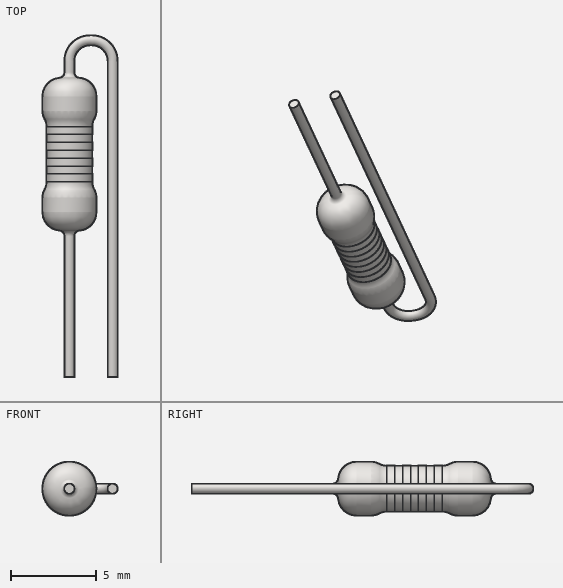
import cadquery as cq
import math

overall_length = 20.1
overall_width = 4.45

lead_diameter = 0.6
lead_radius = lead_diameter / 2
bend_radius = 1.2

cap_radius = 3.2 / 2
waist_radius = 2.71 / 2
band_radius = 2.73 / 2
body_center = 13.1
body_half_length = 4.5
dome_radius = 1.1
lead_fillet = 0.3
cap_inner_end = 2.55
waist_half_length = 1.63

band_count = 4
band_width = 2 * waist_half_length / (2 * band_count - 1)
band_pitch = 2 * band_width

lead_spacing = overall_width - cap_radius - lead_radius
bend_start = overall_length - lead_radius - bend_radius


def point_on_circle(center, radius, degrees):
    angle = math.radians(degrees)
    return (center[0] + radius * math.cos(angle), center[1] + radius * math.sin(angle))


def body_end():
    """The +Y end of the body, from the waist to the lead, with the body center at the origin."""
    dome_center = (cap_radius - dome_radius, body_half_length - dome_radius)
    fillet_x = lead_radius + lead_fillet
    center_gap = dome_radius + lead_fillet
    fillet_rise = math.sqrt(center_gap**2 - (fillet_x - dome_center[0]) ** 2)
    fillet_center = (fillet_x, dome_center[1] + fillet_rise)
    contact_angle = math.degrees(math.atan2(fillet_rise, fillet_x - dome_center[0]))
    dome_end = point_on_circle(dome_center, dome_radius, contact_angle)
    dome_middle = point_on_circle(dome_center, dome_radius, contact_angle / 2)
    fillet_middle = point_on_circle(fillet_center, lead_fillet, (contact_angle + 360) / 2)

    curve_middle = ((waist_radius + cap_radius) / 2, (waist_half_length + cap_inner_end) / 2)

    curve_rise = cap_radius - waist_radius
    curve_length = cap_inner_end - waist_half_length
    curve_radius = (curve_rise**2 + curve_length**2) / (4 * curve_rise)
    curve_turn = math.degrees(math.asin(curve_length / (2 * curve_radius)))
    concave_center = (waist_radius + curve_radius, waist_half_length)
    concave_middle = point_on_circle(concave_center, curve_radius, 180 - curve_turn / 2)

    profile = (
        cq.Workplane("XY")
        .moveTo(0, waist_half_length)
        .lineTo(waist_radius, waist_half_length)
        .threePointArc(concave_middle, curve_middle)
        .tangentArcPoint((cap_radius, cap_inner_end), relative=False)
        .lineTo(cap_radius, dome_center[1])
        .threePointArc(dome_middle, dome_end)
        .threePointArc(fillet_middle, (lead_radius, fillet_center[1]))
        .lineTo(0, fillet_center[1])
        .close()
    )
    return profile.revolve(360, (0, 0, 0), (0, 1, 0))


def disc(radius, start, length):
    """Cylinder on the Y axis that runs toward +Y from the given start."""
    return cq.Workplane("XZ", origin=(0, start, 0)).circle(radius).extrude(-length)


def make_body():
    end = body_end()
    waist = disc(waist_radius, -waist_half_length, 2 * waist_half_length)
    body = waist.union(end).union(end.mirror("XZ"))
    for index in range(band_count):
        band_start = -waist_half_length + index * band_pitch
        body = body.union(disc(band_radius, band_start, band_width))
    return body.translate((0, body_center, 0))


def make_lead():
    """One round wire through the body, bent back to run beside it."""
    bend_top = overall_length - lead_radius
    path = (
        cq.Workplane("XY")
        .lineTo(0, bend_start)
        .tangentArcPoint((bend_radius, bend_top), relative=False)
        .lineTo(lead_spacing - bend_radius, bend_top)
        .tangentArcPoint((lead_spacing, bend_start), relative=False)
        .lineTo(lead_spacing, 0)
    )
    return cq.Workplane("XZ").circle(lead_radius).sweep(path)


result = make_body().union(make_lead())